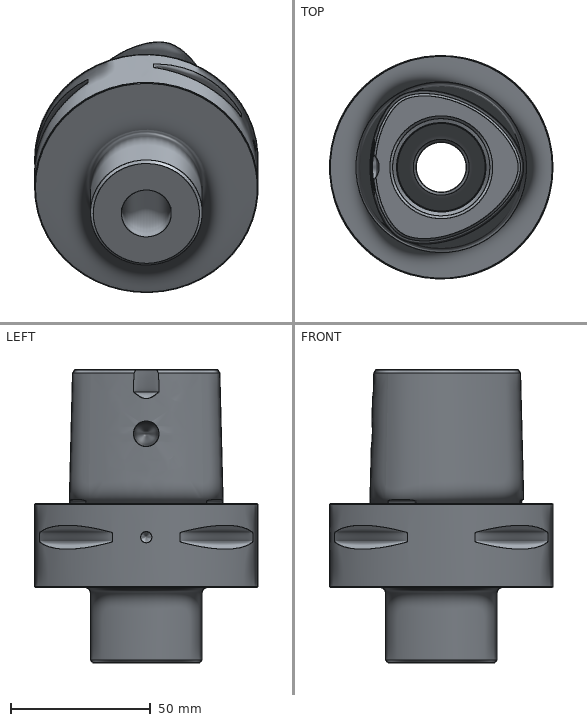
import cadquery as cq
import math


shank_length = 48.0
polygon_width = 55.0
lobe_rise = 2.0
lobe_half_angle = 26.0
straight_length = 2.0
taper = 1 / 20
shank_chamfer_height = 1.3
shank_chamfer_inset = 0.85
lobe_count = 3
points_per_face = 13

flange_diameter = 80.0
flange_height = 30.0
flange_chamfer = 0.3

relief_center_radius = 29.75
relief_center_height = 0.6
relief_radius = 1.0

pilot_diameter = 40.0
pilot_length = 27.0
pilot_fillet = 2.0
pilot_chamfer = 1.0

mouth_diameter = 36.8
mouth_chamfer = 1.0
mouth_half_angle = 15.0
neck_diameter = 32.0
groove_diameter = 38.0
groove_mid_depth = 11.3
groove_flank_angle = 45.0
groove_blend_radius = 3.0
main_diameter = 31.4
floor_depth = shank_length
through_diameter = 17.84
through_chamfer_width = 1.08
through_chamfer_half_angle = 60.0

grip_height = -12.0
grip_floor_distance = 35.5
grip_floor_half_width = 1.67
grip_flank_angle = 30.0
grip_fillet = 0.6
grip_count = 4

key_diameter = 12.0
key_offset = 28.2
key_depth = 8.0
key_half_angle = 45.0
shank_hole_diameter = 9.1
shank_hole_height = 25.0
shank_hole_floor = 19.3
flange_hole_diameter = 4.0
flange_hole_floor = 39.6
drill_half_angle = 59.0

joint_overlap = 1.0

flange_radius = flange_diameter / 2
pilot_radius = pilot_diameter / 2


def slope(angle):
    return math.tan(math.radians(angle))


def polygon_point(width, angle, height):
    """Point of the constant-width section whose outward normal has the given angle."""
    a = math.radians(angle)
    reach = width / 2 + lobe_rise * math.cos(lobe_count * a)
    slide = lobe_count * lobe_rise * math.sin(lobe_count * a)
    x = reach * math.cos(a) + slide * math.sin(a)
    y = reach * math.sin(a) - slide * math.cos(a)
    return cq.Vector(x, y, height)


def normal_tangent(angle):
    a = math.radians(angle)
    return cq.Vector(-math.sin(a), math.cos(a), 0)


def polygon_face_edge(width, start, end, height):
    step = (end - start) / (points_per_face - 1)
    points = [polygon_point(width, start + i * step, height) for i in range(points_per_face)]
    return cq.Edge.makeSpline(points, tangents=[normal_tangent(start), normal_tangent(end)])


def polygon_wire(width, height):
    pitch = 360 / lobe_count
    edges = []
    for i in range(lobe_count):
        lobe_start = i * pitch - lobe_half_angle
        lobe_end = i * pitch + lobe_half_angle
        edges.append(polygon_face_edge(width, lobe_start, lobe_end, height))
        edges.append(polygon_face_edge(width, lobe_end, lobe_start + pitch, height))
    return cq.Wire.assembleEdges(edges)


def make_shank():
    chamfer_start = shank_length - shank_chamfer_height
    tip_width = polygon_width - taper * (chamfer_start - straight_length)
    sections = [
        (polygon_width, -joint_overlap),
        (polygon_width, straight_length),
        (tip_width, chamfer_start),
        (tip_width - 2 * shank_chamfer_inset, shank_length),
    ]
    wires = [polygon_wire(width, height) for width, height in sections]
    return cq.Workplane(cq.Solid.makeLoft(wires, True))


def make_flange():
    return (
        cq.Workplane("XY")
        .circle(flange_radius)
        .extrude(-flange_height)
        .edges()
        .chamfer(flange_chamfer)
    )


def make_pilot():
    top = -flange_height
    bottom = top - pilot_length
    corner_reach = pilot_fillet * (1 - math.sqrt(0.5))
    return (
        cq.Workplane("XZ")
        .moveTo(0, top + joint_overlap)
        .lineTo(pilot_radius + pilot_fillet, top + joint_overlap)
        .lineTo(pilot_radius + pilot_fillet, top)
        .threePointArc(
            (pilot_radius + corner_reach, top - corner_reach),
            (pilot_radius, top - pilot_fillet),
        )
        .lineTo(pilot_radius, bottom + pilot_chamfer)
        .lineTo(pilot_radius - pilot_chamfer, bottom)
        .lineTo(0, bottom)
        .close()
        .revolve()
    )


def make_relief():
    return (
        cq.Workplane("XZ")
        .center(relief_center_radius, relief_center_height)
        .circle(relief_radius)
        .revolve(360, (-relief_center_radius, 0, 0), (-relief_center_radius, 1, 0))
    )


def make_bore():
    mouth_radius = mouth_diameter / 2
    mouth_end_radius = mouth_radius - mouth_chamfer
    neck_radius = neck_diameter / 2
    groove_radius = groove_diameter / 2
    main_radius = main_diameter / 2
    through_radius = through_diameter / 2
    chamfer_radius = through_radius + through_chamfer_width

    top = shank_length
    floor = top - floor_depth
    bottom = -flange_height - pilot_length
    groove_mid = top - groove_mid_depth
    neck = top - mouth_chamfer - (mouth_end_radius - neck_radius) / slope(mouth_half_angle)
    through_top = floor - through_chamfer_width / slope(through_chamfer_half_angle)

    turn = math.radians(groove_flank_angle)
    blend_height = groove_blend_radius * math.sin(turn)
    flank_radius = groove_radius - groove_blend_radius * (1 - math.cos(turn))
    flank_offset = neck - groove_mid - (flank_radius - neck_radius) / slope(groove_flank_angle)
    wall_offset = flank_offset - blend_height
    blend_mid_radius = groove_radius - groove_blend_radius * (1 - math.cos(turn / 2))
    blend_mid_offset = wall_offset + groove_blend_radius * math.sin(turn / 2)
    flank_drop = (flank_radius - main_radius) / slope(groove_flank_angle)
    main_top = groove_mid - flank_offset - flank_drop

    return (
        cq.Workplane("XZ")
        .moveTo(0, top)
        .lineTo(mouth_radius, top)
        .lineTo(mouth_end_radius, top - mouth_chamfer)
        .lineTo(neck_radius, neck)
        .lineTo(flank_radius, groove_mid + flank_offset)
        .threePointArc(
            (blend_mid_radius, groove_mid + blend_mid_offset),
            (groove_radius, groove_mid + wall_offset),
        )
        .lineTo(groove_radius, groove_mid - wall_offset)
        .threePointArc(
            (blend_mid_radius, groove_mid - blend_mid_offset),
            (flank_radius, groove_mid - flank_offset),
        )
        .lineTo(main_radius, main_top)
        .lineTo(main_radius, floor)
        .lineTo(chamfer_radius, floor)
        .lineTo(through_radius, through_top)
        .lineTo(through_radius, bottom)
        .lineTo(0, bottom)
        .close()
        .revolve()
    )


def make_grip(angle):
    depth = flange_radius - grip_floor_distance
    rim_half_width = grip_floor_half_width + depth * slope(grip_flank_angle)
    return (
        cq.Workplane("XZ")
        .moveTo(flange_radius, grip_height + rim_half_width)
        .lineTo(grip_floor_distance, grip_height + grip_floor_half_width)
        .lineTo(grip_floor_distance, grip_height - grip_floor_half_width)
        .lineTo(flange_radius, grip_height - rim_half_width)
        .close()
        .extrude(flange_radius, both=True)
        .edges("|Y and <X")
        .fillet(grip_fillet)
        .rotate((0, 0, 0), (0, 0, 1), angle)
    )


def make_drill(diameter, depth, half_angle):
    """Drill along +Z from the origin: full diameter to the given depth, then a point."""
    radius = diameter / 2
    return (
        cq.Workplane("XZ")
        .lineTo(radius, 0)
        .lineTo(radius, depth)
        .lineTo(0, depth + radius / slope(half_angle))
        .close()
        .revolve()
    )


def make_side_hole(diameter, floor_distance, height):
    drill = make_drill(diameter, flange_radius - floor_distance, drill_half_angle)
    return drill.rotate((0, 0, 0), (0, 1, 0), 90).translate((-flange_radius, 0, height))


def make_keyway():
    drill = make_drill(key_diameter, key_depth, key_half_angle)
    return drill.rotate((0, 0, 0), (1, 0, 0), 180).translate((-key_offset, 0, shank_length))


result = make_flange().union(make_shank()).union(make_pilot())
result = result.cut(make_relief()).cut(make_bore()).cut(make_keyway())
for i in range(grip_count):
    result = result.cut(make_grip((i + 0.5) * 360 / grip_count))
result = result.cut(make_side_hole(shank_hole_diameter, shank_hole_floor, shank_hole_height))
result = result.cut(make_side_hole(flange_hole_diameter, flange_hole_floor, grip_height))